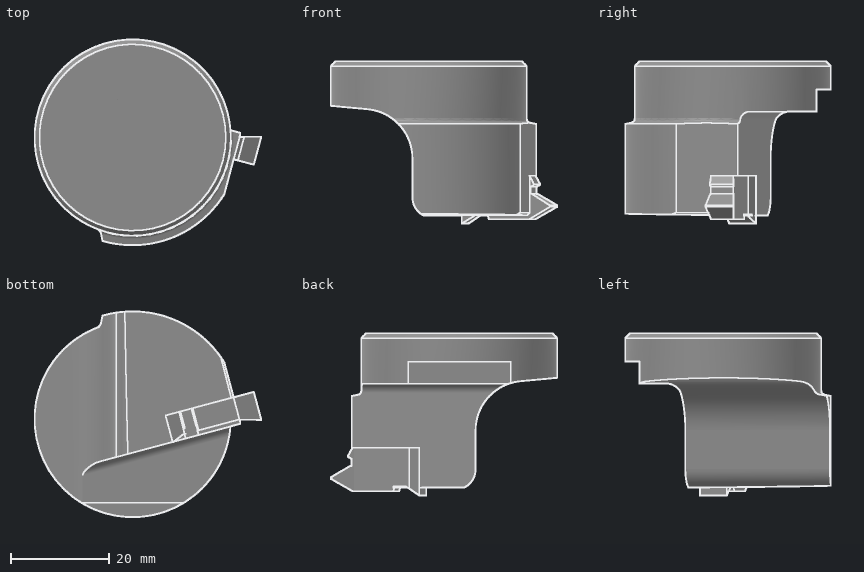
import cadquery as cq
import math

TOOL_ANGLE = -15.0
REACH = 55.5

disc_radius = 40.0 / 2
disc_chamfer = 1.0
disc_bottom = -11.65
neck_radius = 20.65
neck_bottom = -12.55
shank_radius = 21.97
shoulder_bottom = -12.8

relief_wall_x = -3.35
relief_radius = 10.0
relief_slope = 5.3
relief_center_z = -19.8
heel_radius = 4.15
heel_start_z = -27.75

end_flat_u = 21.05
end_chamfer = 0.6
rear_face_v = 6.6
rear_ceiling_z = -10.3
rear_fillet = 1.85
rim_step_y = 17.05
rim_step_z = -5.85
bottom_rear_z = -31.5
bottom_front_z = -31.15

seat_v = 1.0
rake_floor_v = 5.7
insert_top_z = -23.4
tip_u = 25.3
tip_v = 7.0
tip_top_z = -29.4
tip_bottom_z = -29.7
tip_rake_start_u = 20.72
side_tooth_u = 6.65
side_tooth_v = 6.7
side_tooth_end_u = 9.8
side_tooth_z = -33.1
insert_belly_z = -31.25
insert_foot_z = -32.25
foot_start_u = 12.1
foot_end_u = 21.0
foot_bevel = 0.3
lip_u = 21.95
lip_top_z = -25.05
lip_bottom_z = -25.25
groove_u = 21.25
groove_top_z = -25.65
groove_bottom_z = -27.05
tip_start_u = 21.45
rake_floor_start_u = 9.05


def turn_to_tool(shape):
    """Turn a shape built with u along X and v along Y into the tool frame."""
    return shape.rotate((0, 0, 0), (0, 0, 1), TOOL_ANGLE)


def make_blank():
    """Chamfered disc on a wider shank, joined by a concave neck and a conical shoulder."""
    sag = 1 - math.sqrt(0.5)
    neck_mid = (
        disc_radius + (neck_radius - disc_radius) * sag,
        neck_bottom + (disc_bottom - neck_bottom) * sag,
    )
    return (
        cq.Workplane("XZ")
        .moveTo(0, 0)
        .lineTo(disc_radius - disc_chamfer, 0)
        .lineTo(disc_radius, -disc_chamfer)
        .lineTo(disc_radius, disc_bottom)
        .threePointArc(neck_mid, (neck_radius, neck_bottom))
        .lineTo(shank_radius, shoulder_bottom)
        .lineTo(shank_radius, -REACH)
        .lineTo(0, -REACH)
        .close()
        .revolve(360, (0, 0, 0), (0, 1, 0))
    )


def make_side_relief():
    """Sloped underside, large concave arc, upright wall and rounded heel."""
    center_x = relief_wall_x - relief_radius
    slope = math.radians(relief_slope)

    def arc_point(angle):
        return (
            center_x + relief_radius * math.cos(angle),
            relief_center_z + relief_radius * math.sin(angle),
        )

    arc_start = math.pi / 2 - slope
    start_x, start_z = arc_point(arc_start)
    outer_z = start_z + (start_x + REACH) * math.tan(slope)
    heel_x = relief_wall_x + heel_radius
    heel_mid = (
        heel_x - heel_radius * math.sqrt(0.5),
        heel_start_z - heel_radius * math.sqrt(0.5),
    )
    return (
        cq.Workplane("XZ")
        .moveTo(-REACH, outer_z)
        .lineTo(start_x, start_z)
        .threePointArc(arc_point(arc_start / 2), (relief_wall_x, relief_center_z))
        .lineTo(relief_wall_x, heel_start_z)
        .threePointArc(heel_mid, (heel_x, heel_start_z - heel_radius))
        .lineTo(heel_x, -REACH)
        .lineTo(-REACH, -REACH)
        .close()
        .extrude(REACH, both=True)
    )


def make_rear_clearance():
    """Space behind the rear face, filleted up into the underside of the disc."""
    arc_mid = (
        rear_face_v + rear_fillet * (1 - math.sqrt(0.5)),
        rear_ceiling_z - rear_fillet * (1 - math.sqrt(0.5)),
    )
    clearance = (
        cq.Workplane("YZ")
        .moveTo(rear_face_v, -REACH)
        .lineTo(rear_face_v, rear_ceiling_z - rear_fillet)
        .threePointArc(arc_mid, (rear_face_v + rear_fillet, rear_ceiling_z))
        .lineTo(REACH, rear_ceiling_z)
        .lineTo(REACH, -REACH)
        .close()
        .extrude(REACH, both=True)
    )
    return turn_to_tool(clearance)


def make_rim_step():
    """Flat-sided step under the rear rim of the disc."""
    return cq.Workplane("XY").box(2 * REACH, REACH, REACH, centered=(True, False, False)).translate(
        (0, rim_step_y, rim_step_z - REACH)
    )


def make_bottom_cut():
    """Slightly tilted underside of the shank, lowest at the rear face."""
    tilt = (bottom_rear_z - bottom_front_z) / (rear_face_v + shank_radius)
    cut = (
        cq.Workplane("YZ")
        .moveTo(-REACH, bottom_rear_z - tilt * (REACH + rear_face_v))
        .lineTo(REACH, bottom_rear_z + tilt * (REACH - rear_face_v))
        .lineTo(REACH, -2 * REACH)
        .lineTo(-REACH, -2 * REACH)
        .close()
        .extrude(REACH, both=True)
    )
    return turn_to_tool(cut)


def make_end_cut():
    """End flat of the shank, with a 45 degree chamfer at its lower edge."""
    chamfer_top = bottom_rear_z + end_chamfer
    cut = (
        cq.Workplane("XZ")
        .moveTo(end_flat_u, 0)
        .lineTo(end_flat_u, chamfer_top)
        .lineTo(end_flat_u - (chamfer_top + REACH), -REACH)
        .lineTo(REACH, -REACH)
        .lineTo(REACH, 0)
        .close()
        .extrude(REACH, both=True)
    )
    return turn_to_tool(cut)


def make_insert_prism():
    """Insert outline in u and z, running from the seat toward the rake side."""
    outline = [
        (side_tooth_u, insert_top_z),
        (end_flat_u, insert_top_z),
        (lip_u, lip_top_z),
        (lip_u, lip_bottom_z),
        (groove_u, groove_top_z),
        (groove_u, groove_bottom_z),
        (tip_start_u, groove_bottom_z),
        (tip_u, tip_top_z),
        (tip_u, tip_bottom_z),
        (foot_end_u, insert_foot_z),
        (foot_start_u + foot_bevel, insert_foot_z),
        (foot_start_u, insert_belly_z),
        (side_tooth_end_u, insert_belly_z),
        (side_tooth_u, side_tooth_z),
    ]
    prism = cq.Workplane("XZ", origin=(0, seat_v, 0)).polyline(outline).close().extrude(-REACH)
    return turn_to_tool(prism)


def make_insert(prism):
    """Insert with a dished rake side that rises toward both teeth."""
    section = [
        (side_tooth_u, seat_v),
        (tip_u, seat_v),
        (tip_u, tip_v),
        (tip_rake_start_u, rake_floor_v),
        (rake_floor_start_u, rake_floor_v),
        (side_tooth_u, side_tooth_v),
    ]
    thickness = cq.Workplane("XY").polyline(section).close().extrude(-REACH)
    return prism.intersect(turn_to_tool(thickness))


def make_holder(insert_prism):
    """Disc and shank in one piece, with a pocket for the insert open to the rear."""
    holder = make_blank()
    holder = holder.cut(make_side_relief())
    holder = holder.cut(make_rear_clearance())
    holder = holder.cut(make_rim_step())
    holder = holder.cut(make_bottom_cut())
    holder = holder.cut(make_end_cut())
    return holder.cut(insert_prism)


insert_prism = make_insert_prism()
insert = make_insert(insert_prism)
holder = make_holder(insert_prism)

result = cq.Compound.makeCompound([holder.val(), insert.val()])